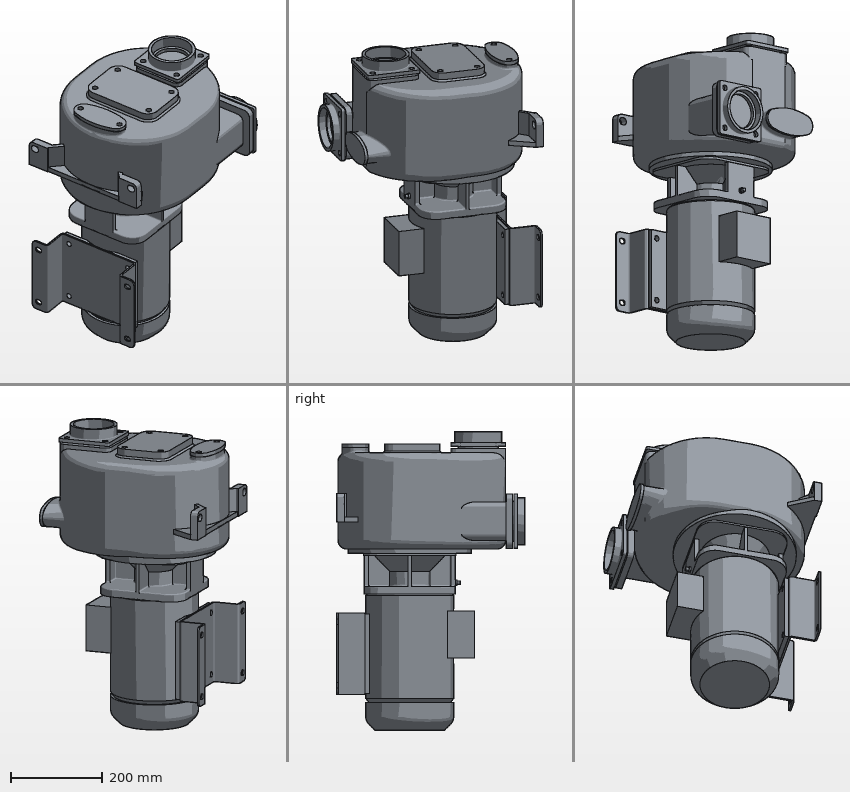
import cadquery as cq
import math


motor_radius = 96.5
motor_top_radius = 94
motor_neck_z = 295
motor_top_z = 298
fan_cover_top_z = 61
fan_cover_round = 21
fan_cover_round_top_z = 29
groove_radius = 90
groove_top_z = 70
terminal_box_width = 98
terminal_box_back_y = 142
terminal_box_depth = 59
terminal_box_bottom_z = 158
terminal_box_height = 103.5

bracket_bottom_z = 78
bracket_height = 179
bracket_sheet = 4
bracket_web_back_y = -98
bracket_half_width = 137
bracket_corner_radius = 10
leg_inner_x = 96.5
bracket_inner_bend = 3
bracket_outer_bend = bracket_inner_bend + bracket_sheet
bolt_inset_z = 20
bracket_bolt_x = 79.5
bracket_bolt_diameter = 12
bracket_slot_x = 120
bracket_slot_length = 16
bracket_slot_width = 12
pad_half_width = 95
pad_thickness = 10
pad_inset_z = 2

lantern_half_width = 100
lantern_corner_radius = 40
lantern_base_thickness = 17
lantern_top_z = 387
lantern_top_thickness = 5
lantern_top_overhang = 1.5
lantern_column_radius = 44
lantern_cone_bottom_z = 348
lantern_cone_top_radius = 77
lantern_web_width = 75
lantern_web_thickness = 10
lantern_rib_thickness = 7
pocket_fillet = 3
nipple_z = 323
nipple_radius = 4
nipple_length = 11
nipple_collar_radius = 6
nipple_collar_length = 4

front_y = -160
casing_center_x = 16.5
casing_radius = 157.3
casing_straight = 60
casing_back_y = 210
casing_bottom_z = 396.5
casing_height = 211
casing_round = 19.5
casing_top_z = casing_bottom_z + casing_height
base_ring_radius = 135

oval_half_width = 65.5
oval_half_depth = 29.5
oval_end_radius = 22.5
oval_root_fillet = 4

cover_top_z = 627
cover_width = 180
cover_depth = 121
cover_corner_radius = 25
cover_center_y = 5.5
cover_bolt_x = 72.5
cover_bolt_y = 42.5
cover_bolt_diameter = 12
cover_bolt_depth = 10
cover_base_fillet = 4
oval_center_y = -119
oval_lid_thickness = 8.5
oval_bolt_x = 52.5
oval_root_z = casing_top_z - casing_round

flange_size = 120
flange_thickness = 8
flange_corner_radius = 5
flange_hole_spacing = 90
flange_hole_diameter = 12
flange_bore_radius = 38
neck_radius = 51.5
neck_root_fillet = 1.5
neck_bore_radius = 44.5
port_corner_radius = 15
port_face_radius = 44
top_end_z = 653.5
top_neck_length = 24
top_port_y = 150
top_port_z = 617
top_face_height = top_end_z - top_neck_length - flange_thickness - top_port_z
side_end_y = 252
side_neck_length = 16
side_port_x = 122
side_port_z = 457.5
side_port_y = 225
side_face_height = side_end_y - side_neck_length - flange_thickness - side_port_y
side_pad_thickness = 14
side_duct_size = 85
stub_center_x = -25
stub_end_y = 235
stub_rim_length = 7

foot_inner_x = 95.5
foot_outer_x = 145
foot_thickness = 17
foot_bottom_z = 456
foot_height = 62.5
foot_corner_radius = 12
foot_slot_x = 129.5
foot_slot_z = 503
foot_slot_length = 19
foot_slot_width = 16
shelf_thickness = 11
shelf_front_y = -158
shelf_side_run = 45
shelf_side_rise = 72
gusset_thickness = 13
gusset_reach = 35


def box(x_min, x_max, y_min, y_max, z_min, z_max):
    """Block between the given limits."""
    size = (x_max - x_min, y_max - y_min, z_max - z_min)
    return cq.Workplane("XY").box(*size, centered=False).translate((x_min, y_min, z_min))


def rounded_slab(width, depth, thickness, corner_radius):
    """Slab centred on Z, standing on Z = 0, with rounded vertical edges."""
    slab = cq.Workplane("XY").rect(width, depth).extrude(thickness)
    return slab.edges("|Z").fillet(corner_radius)


def facing_back(shape):
    """Turn a shape built along +Z so that it points along +Y."""
    return shape.rotate((0, 0, 0), (1, 0, 0), -90)


def make_motor():
    """Turned motor body with a fan cover below a groove, and the terminal box behind it."""
    arc_in = fan_cover_round * (1 - math.cos(math.pi / 4))
    arc_mid_in = fan_cover_round * (1 - math.cos(math.pi / 8))
    arc_drop = fan_cover_round * math.sin(math.pi / 4)
    arc_mid_drop = fan_cover_round * math.sin(math.pi / 8)
    cone_top_radius = motor_radius - arc_in
    cone_top_z = fan_cover_round_top_z - arc_drop
    body = (
        cq.Workplane("XZ")
        .lineTo(cone_top_radius - cone_top_z, 0)
        .lineTo(cone_top_radius, cone_top_z)
        .threePointArc(
            (motor_radius - arc_mid_in, fan_cover_round_top_z - arc_mid_drop),
            (motor_radius, fan_cover_round_top_z),
        )
        .lineTo(motor_radius, fan_cover_top_z)
        .lineTo(groove_radius, fan_cover_top_z)
        .lineTo(motor_radius, groove_top_z)
        .lineTo(motor_radius, motor_neck_z)
        .lineTo(motor_top_radius, motor_top_z)
        .lineTo(0, motor_top_z)
        .close()
        .revolve(360, (0, 0, 0), (0, 1, 0))
    )
    terminal_box = box(
        -terminal_box_width / 2,
        terminal_box_width / 2,
        terminal_box_back_y - terminal_box_depth,
        terminal_box_back_y,
        terminal_box_bottom_z,
        terminal_box_bottom_z + terminal_box_height,
    )
    return body.union(terminal_box)


def make_foot_bracket():
    """Bent sheet bracket with two legs, on the pad that joins it to the motor."""
    web_front_y = bracket_web_back_y - bracket_sheet
    tab_back_y = front_y + bracket_sheet
    leg_outer_x = leg_inner_x + bracket_sheet
    half_outline = [
        (leg_outer_x, bracket_web_back_y),
        (leg_outer_x, tab_back_y),
        (bracket_half_width, tab_back_y),
        (bracket_half_width, front_y),
        (leg_inner_x, front_y),
        (leg_inner_x, web_front_y),
    ]
    mirrored_outline = [(-x, y) for x, y in reversed(half_outline)]
    bracket = (
        cq.Workplane("XY", origin=(0, 0, bracket_bottom_z))
        .polyline(half_outline + mirrored_outline)
        .close()
        .extrude(bracket_height)
    )
    bracket = bracket.edges("|Y").edges("<X or >X").fillet(bracket_corner_radius)
    middle_z = bracket_bottom_z + bracket_height / 2
    for side in (-1, 1):
        bends = (
            (leg_outer_x, bracket_web_back_y, bracket_outer_bend),
            (leg_inner_x, front_y, bracket_outer_bend),
            (leg_inner_x, web_front_y, bracket_inner_bend),
            (leg_outer_x, tab_back_y, bracket_inner_bend),
        )
        for x, y, radius in bends:
            bend_edge = cq.selectors.NearestToPointSelector((side * x, y, middle_z))
            bracket = bracket.edges("|Z").edges(bend_edge).fillet(radius)
    pad = box(
        -pad_half_width,
        pad_half_width,
        bracket_web_back_y,
        bracket_web_back_y + pad_thickness,
        bracket_bottom_z + pad_inset_z,
        bracket_bottom_z + bracket_height - pad_inset_z,
    )
    hole_spacing_z = bracket_height - 2 * bolt_inset_z
    hole_plane = cq.Workplane("XZ", origin=(0, 0, middle_z))
    bolts = (
        hole_plane.rarray(2 * bracket_bolt_x, hole_spacing_z, 2, 2)
        .circle(bracket_bolt_diameter / 2)
        .extrude(-front_y)
    )
    slots = (
        hole_plane.rarray(2 * bracket_slot_x, hole_spacing_z, 2, 2)
        .slot2D(bracket_slot_length, bracket_slot_width)
        .extrude(-front_y)
    )
    return bracket.union(pad).cut(bolts).cut(slots)


def make_lantern():
    """Open square lantern: two plates, flared centre column, two webs and crossed ribs."""
    base_top_z = motor_top_z + lantern_base_thickness
    cone_top_z = lantern_top_z - lantern_top_thickness
    full_width = 2 * lantern_half_width
    base = rounded_slab(full_width, full_width, lantern_base_thickness, lantern_corner_radius)
    base = base.translate((0, 0, motor_top_z))
    top_width = full_width + 2 * lantern_top_overhang
    top = rounded_slab(top_width, top_width, lantern_top_thickness, lantern_corner_radius)
    top = top.translate((0, 0, cone_top_z))
    column = (
        cq.Workplane("XZ", origin=(0, 0, motor_top_z))
        .lineTo(lantern_column_radius, 0)
        .lineTo(lantern_column_radius, lantern_cone_bottom_z - motor_top_z)
        .lineTo(lantern_cone_top_radius, cone_top_z - motor_top_z)
        .lineTo(0, cone_top_z - motor_top_z)
        .close()
        .revolve(360, (0, 0, 0), (0, 1, 0))
    )
    rib = lantern_rib_thickness / 2
    side_rib = box(-lantern_half_width, lantern_half_width, -rib, rib, motor_top_z, lantern_top_z)
    front_rib = box(-rib, rib, -lantern_half_width, lantern_half_width, motor_top_z, lantern_top_z)
    lantern = base.union(top).union(column).union(side_rib).union(front_rib)
    web_back = lantern_half_width - lantern_web_thickness
    web = box(
        -lantern_web_width / 2,
        lantern_web_width / 2,
        web_back,
        lantern_half_width,
        motor_top_z,
        lantern_top_z,
    )
    lantern = lantern.union(web).union(web.mirror("XZ"))
    inside = lantern_half_width - 1
    pocket_floors = cq.selectors.BoxSelector(
        (-inside, -inside, motor_top_z + 1), (inside, inside, base_top_z + 0.1)
    )
    inner_edges = lantern.edges(pocket_floors).vals()
    for x in (-rib, rib):
        for y in (-web_back, web_back):
            corner = cq.selectors.NearestToPointSelector((x, y, (base_top_z + cone_top_z) / 2))
            inner_edges += lantern.edges("|Z").edges(corner).vals()
    lantern = lantern.newObject(inner_edges).fillet(pocket_fillet)
    nipple_root = cq.Workplane("XY").circle(nipple_collar_radius).extrude(nipple_collar_length)
    nipple = nipple_root.union(cq.Workplane("XY").circle(nipple_radius).extrude(nipple_length))
    nipple = facing_back(nipple).translate((0, lantern_half_width, nipple_z))
    return lantern.union(nipple)


def make_casing():
    """Rounded casing, flattened at the back, standing on a round base ring."""
    casing = (
        cq.Workplane("XY", origin=(casing_center_x, casing_straight / 2, casing_bottom_z))
        .slot2D(2 * casing_radius + casing_straight, 2 * casing_radius, 90)
        .extrude(casing_height)
    )
    behind_back = box(
        casing_center_x - casing_radius,
        casing_center_x + casing_radius,
        casing_back_y,
        casing_back_y + casing_radius,
        casing_bottom_z,
        casing_top_z,
    )
    casing = casing.cut(behind_back).faces("<Z or >Z").edges().fillet(casing_round)
    ring_height = casing_bottom_z + casing_round - lantern_top_z
    ring = cq.Workplane("XY", origin=(0, 0, lantern_top_z)).circle(base_ring_radius).extrude(ring_height)
    return casing.union(ring)


def make_cover():
    """Rectangular cover with a flared foot and four blind bolt holes."""
    height = cover_top_z - casing_top_z
    flared = rounded_slab(
        cover_width + 2 * cover_base_fillet,
        cover_depth + 2 * cover_base_fillet,
        cover_base_fillet,
        cover_corner_radius + cover_base_fillet,
    )
    flared = flared.faces(">Z").edges().chamfer(cover_base_fillet * 0.99)
    cover = rounded_slab(cover_width, cover_depth, height, cover_corner_radius).union(flared)
    cover = (
        cover.faces(">Z")
        .workplane(origin=(0, 0, 0))
        .rarray(2 * cover_bolt_x, 2 * cover_bolt_y, 2, 2)
        .hole(cover_bolt_diameter, cover_bolt_depth)
    )
    return cover.translate((casing_center_x, cover_center_y, casing_top_z))


def make_oval_boss(height, rim_height):
    """Elliptical boss standing on Z = 0, with a rim of flat and tight arcs at its top."""
    end_center_x = oval_half_width - oval_end_radius
    flat_radius = (end_center_x**2 + oval_half_depth**2 - oval_end_radius**2) / (
        2 * (oval_half_depth - oval_end_radius)
    )
    flat_center_y = oval_half_depth - flat_radius
    stretch = oval_end_radius / (flat_radius - oval_end_radius)
    meet_x = end_center_x * (1 + stretch)
    meet_y = -flat_center_y * stretch
    root_height = height - rim_height
    rim = (
        cq.Workplane("XY", origin=(0, 0, root_height))
        .moveTo(-meet_x, meet_y)
        .threePointArc((0, oval_half_depth), (meet_x, meet_y))
        .threePointArc((oval_half_width, 0), (meet_x, -meet_y))
        .threePointArc((0, -oval_half_depth), (-meet_x, -meet_y))
        .threePointArc((-oval_half_width, 0), (-meet_x, meet_y))
        .close()
        .extrude(rim_height)
    )
    root = cq.Workplane("XY").ellipse(oval_half_width, oval_half_depth).extrude(root_height)
    return root.union(rim)


def make_oval_cover():
    """Oval cover over the rounded front edge of the casing, with two blind bolt holes."""
    cover = make_oval_boss(cover_top_z - oval_root_z, oval_lid_thickness)
    cover = (
        cover.faces(">Z")
        .workplane(origin=(0, 0, 0))
        .rarray(2 * oval_bolt_x, 1, 2, 1)
        .hole(cover_bolt_diameter, cover_bolt_depth)
    )
    return cover.translate((casing_center_x, oval_center_y, oval_root_z))


def make_port(depth, face_height):
    """Square port pad ending at Z = 0, with the raised round face that a flange sits on."""
    pad = rounded_slab(flange_size, flange_size, depth, port_corner_radius).translate((0, 0, -depth))
    face = cq.Workplane("XY").circle(port_face_radius).extrude(face_height)
    return pad.union(face)


def make_top_port():
    """Top port, rooted in the casing below its rounded edge."""
    depth = top_port_z - casing_top_z + casing_round
    return make_port(depth, top_face_height).translate((casing_center_x, top_port_y, top_port_z))


def make_side_port():
    """Side port on a square duct that runs into the casing."""
    duct_length = side_port_y - casing_straight
    duct = rounded_slab(side_duct_size, side_duct_size, duct_length, port_corner_radius)
    port = make_port(side_pad_thickness, side_face_height).union(duct.translate((0, 0, -duct_length)))
    return facing_back(port).translate((side_port_x, side_port_y, side_port_z))


def make_stub():
    """Oval duct stub with a blind end at the back of the casing."""
    stub = make_oval_boss(stub_end_y - casing_straight, stub_rim_length)
    return facing_back(stub).translate((stub_center_x, casing_straight, side_port_z))


def make_casing_with_oval_bosses():
    """Casing with the oval cover and the duct stub, each blended into it by a fillet."""
    casing = make_casing().union(make_oval_cover()).union(make_stub())
    cover_root = cq.selectors.BoxSelector(
        (casing_center_x - oval_half_width, oval_center_y - oval_half_depth, oval_root_z),
        (casing_center_x + oval_half_width, oval_center_y + oval_half_depth, casing_top_z + 0.1),
    )
    stub_root = cq.selectors.BoxSelector(
        (stub_center_x - oval_half_width, casing_straight, side_port_z - oval_half_depth),
        (stub_center_x + oval_half_width, casing_back_y + 0.1, side_port_z + oval_half_depth),
    )
    for root in (cover_root, stub_root):
        casing = casing.edges(root).edges("%BSPLINE").fillet(oval_root_fillet)
    return casing


def make_foot(side):
    """Slotted foot plate and its diagonal gusset; side is -1 for left and +1 for right."""
    foot_back_y = front_y + foot_thickness
    plate = box(
        foot_inner_x, foot_outer_x, front_y, foot_back_y, foot_bottom_z, foot_bottom_z + foot_height
    )
    plate = plate.edges("|Y and >X and >Z").fillet(foot_corner_radius)
    slot = (
        cq.Workplane("XZ", origin=(foot_slot_x, 0, foot_slot_z))
        .slot2D(foot_slot_length, foot_slot_width)
        .extrude(-front_y)
    )
    gusset = (
        cq.Workplane("XY", origin=(0, 0, foot_bottom_z))
        .moveTo(foot_inner_x, foot_back_y)
        .lineTo(foot_inner_x, foot_back_y - gusset_thickness)
        .line(-gusset_reach, gusset_reach)
        .line(0, gusset_thickness)
        .close()
        .extrude(foot_height)
    )
    foot = plate.cut(slot).union(gusset)
    return foot if side > 0 else foot.mirror("YZ")


def make_feet():
    """Two feet tied together by a horizontal shelf."""
    foot_back_y = front_y + foot_thickness
    half_shelf = [
        (foot_inner_x, shelf_front_y),
        (foot_inner_x, foot_back_y),
        (foot_outer_x, foot_back_y),
        (foot_outer_x - shelf_side_run, foot_back_y + shelf_side_rise),
    ]
    mirrored_half = [(-x, y) for x, y in reversed(half_shelf)]
    feet = (
        cq.Workplane("XY", origin=(0, 0, foot_bottom_z))
        .polyline(half_shelf + mirrored_half)
        .close()
        .extrude(shelf_thickness)
    )
    for side in (-1, 1):
        feet = feet.union(make_foot(side))
    return feet


def make_pump_unit():
    """Casing, lantern and motor with everything fixed to them, as one solid."""
    unit = make_casing_with_oval_bosses()
    for section in (
        make_cover(),
        make_top_port(),
        make_side_port(),
        make_feet(),
        make_lantern(),
        make_motor(),
        make_foot_bracket(),
    ):
        unit = unit.union(section)
    return unit


def make_flange(neck_length):
    """Square flange standing on Z = 0 with a round neck, bored in two steps."""
    plate = rounded_slab(flange_size, flange_size, flange_thickness, flange_corner_radius)
    plate = (
        plate.faces(">Z")
        .workplane()
        .rarray(flange_hole_spacing, flange_hole_spacing, 2, 2)
        .hole(flange_hole_diameter)
    )
    neck_plane = cq.Workplane("XY", origin=(0, 0, flange_thickness))
    neck = neck_plane.circle(neck_radius).circle(neck_bore_radius).extrude(neck_length)
    bore = cq.Workplane("XY").circle(flange_bore_radius).extrude(flange_thickness)
    flange = plate.cut(bore).union(neck)
    neck_rims = flange.edges(cq.selectors.RadiusNthSelector(-1))
    return neck_rims.edges("<Z").fillet(neck_root_fillet)


pump_unit = make_pump_unit()
top_flange = make_flange(top_neck_length).translate(
    (casing_center_x, top_port_y, top_port_z + top_face_height)
)
side_flange = facing_back(make_flange(side_neck_length)).translate(
    (side_port_x, side_port_y + side_face_height, side_port_z)
)

result = cq.Compound.makeCompound([pump_unit.val(), top_flange.val(), side_flange.val()])